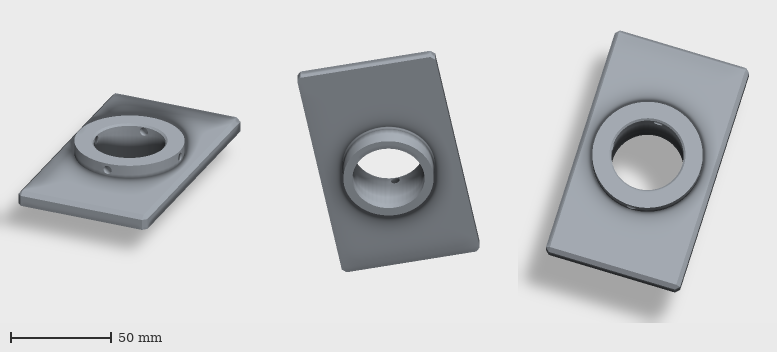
import cadquery as cq

plate_width = 70.0
plate_length = 120
plate_thickness = 7.5
plate_chamfer = 2.0
plate_bottom = 12
plate_top = plate_bottom + plate_thickness

bushing_height = 27.0
sleeve_diameter = 45.0
bore_diameter = 36
bore_chamfer = 1.0
flange_diameter = 55.0
flange_gap = 0.45
flange_bottom = plate_top + flange_gap
flange_thickness = bushing_height - flange_bottom
cross_hole_diameter = 4.5
cross_hole_height = flange_bottom + flange_thickness / 2

wire_diameter = 2.4
ring_outer_diameter = 46.5
ring_height = 11.4
ring_path_radius = (ring_outer_diameter - wire_diameter) / 2
full_turn = 360

bore_chamfer_angle = 90


def make_ring():
    """Closed ring of round wire around the sleeve."""
    return (
        cq.Workplane("XZ", origin=(0, 0, ring_height))
        .center(ring_path_radius, 0)
        .circle(wire_diameter / 2)
        .revolve(full_turn, (-ring_path_radius, 0), (-ring_path_radius, 1))
    )


def make_plate(ring):
    """Plate with chamfered corners and top rim, bored for the sleeve and relieved for the ring."""
    blank = (
        cq.Workplane("XY", origin=(0, 0, plate_bottom))
        .box(plate_width, plate_length, plate_thickness, centered=(True, True, False))
        .edges("|Z or >Z")
        .chamfer(plate_chamfer)
    )
    return blank.faces(">Z").workplane().hole(sleeve_diameter).cut(ring)


def make_bushing(ring):
    """Sleeve under a flange, with a chamfered bore, crossed radial holes and a groove for the ring."""
    body = (
        cq.Workplane("XY")
        .circle(sleeve_diameter / 2)
        .extrude(flange_bottom)
        .faces(">Z")
        .workplane()
        .circle(flange_diameter / 2)
        .extrude(flange_thickness)
        .faces(">Z")
        .workplane()
        .cskHole(bore_diameter, bore_diameter + 2 * bore_chamfer, bore_chamfer_angle)
    )
    for side_plane in ("XZ", "YZ"):
        cross_hole = (
            cq.Workplane(side_plane, origin=(0, 0, cross_hole_height))
            .circle(cross_hole_diameter / 2)
            .extrude(flange_diameter, both=True)
        )
        body = body.cut(cross_hole)
    return body.cut(ring)


ring = make_ring()
plate = make_plate(ring)
bushing = make_bushing(ring)

bodies = [body.solids().val() for body in (plate, bushing, ring)]
result = cq.Compound.makeCompound(bodies)